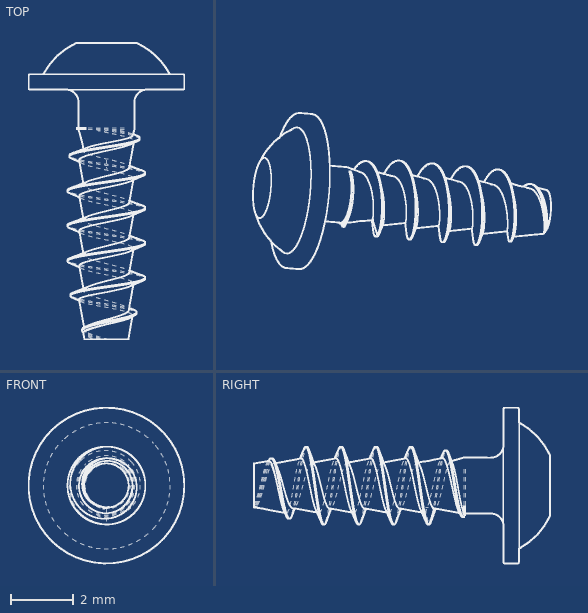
import cadquery as cq
import math


flange_radius = 2.5
flange_thickness = 0.5
flange_edge_round = 0.05
dome_height = 1.0
dome_base_radius = 2.03
dome_top_radius = 0.97

shank_radius = 0.9
under_head_fillet = 0.4
shank_end = 1.275
screw_length = 8.0

root_radius = 0.735
core_radius = 0.69
shoulder_slope = 0.28
tip_radius = 0.71
tip_taper_slope = 0.173

pitch = 1.12
thread_radius = 1.25
crest_half_width = 0.02
head_flank_base = 0.19
tip_flank_base = 0.17
tip_flank_radius = 0.875
ridge_foot_radius = 0.65
taper_foot_radius = 0.55
first_crest = 1.0
start_angle = 180

growing_turns = 1.25
full_turns = 3.5
fading_turns = 1.5
growth_slope = 0.21
fade_slope = 0.335
thread_clip_start = 1.25

lip_thickness = 0.06
lip_offset = 0.055


def revolve_profile(profile):
    """Revolve a half profile, drawn as (radius, z), about the screw axis."""
    return profile.close().revolve(360, (0, 0, 0), (0, 1, 0))


def make_head():
    dome_top = -flange_thickness - dome_height
    sphere_offset = (
        dome_base_radius**2 - dome_top_radius**2 - dome_height**2
    ) / (2 * dome_height)
    sphere_radius = (dome_base_radius**2 + sphere_offset**2) ** 0.5
    middle_height = dome_height / 2
    middle_radius = (sphere_radius**2 - (sphere_offset + middle_height) ** 2) ** 0.5
    flange = (
        cq.Workplane("XY", origin=(0, 0, -flange_thickness))
        .circle(flange_radius)
        .extrude(flange_thickness)
        .edges()
        .fillet(flange_edge_round)
    )
    dome = revolve_profile(
        cq.Workplane("XZ")
        .moveTo(0, dome_top)
        .lineTo(dome_top_radius, dome_top)
        .threePointArc(
            (middle_radius, -flange_thickness - middle_height),
            (dome_base_radius, -flange_thickness),
        )
        .lineTo(dome_base_radius, -flange_thickness / 2)
        .lineTo(0, -flange_thickness / 2)
    )
    return flange.union(dome)


def make_shank():
    """Plain shank with its under-head fillet and the taper down to the core."""
    fillet_radius_at_head = shank_radius + under_head_fillet
    shoulder_end = shank_end + (shank_radius - core_radius) / shoulder_slope
    fillet_middle = under_head_fillet * (1 - 0.5**0.5)
    return revolve_profile(
        cq.Workplane("XZ")
        .moveTo(0, -flange_thickness / 2)
        .lineTo(fillet_radius_at_head, -flange_thickness / 2)
        .lineTo(fillet_radius_at_head, 0)
        .threePointArc(
            (shank_radius + fillet_middle, fillet_middle),
            (shank_radius, under_head_fillet),
        )
        .lineTo(shank_radius, shank_end)
        .lineTo(core_radius, shoulder_end)
        .lineTo(0, shoulder_end)
    )


def make_core():
    """Cylinder just inside the thread root, reaching from the shank to the tip."""
    return (
        cq.Workplane("XY", origin=(0, 0, shank_end))
        .circle(core_radius)
        .extrude(screw_length - shank_end)
    )


def make_tip_envelope():
    """Cone that limits the helical taper of the core near the tip."""
    length = screw_length - shank_end
    return revolve_profile(
        cq.Workplane("XZ")
        .moveTo(0, shank_end)
        .lineTo(tip_radius + tip_taper_slope * length, shank_end)
        .lineTo(tip_radius, screw_length)
        .lineTo(0, screw_length)
    )


def sweep_helix(points, first_turn, turns, radial_slope=0.0):
    """Sweep a (radius, z) outline, with z = 0 at the crest, along part of the helix.

    A radial slope makes the outline grow outward, or sink inward if negative,
    as it advances along the axis.
    """
    start_radius = max(radius for radius, _ in points)
    if radial_slope == 0:
        helix = cq.Wire.makeHelix(pitch, pitch * turns, start_radius)
    else:
        cone_angle = math.atan(radial_slope)
        slant_pitch = pitch / math.cos(cone_angle)
        helix = cq.Wire.makeHelix(
            slant_pitch, slant_pitch * turns, start_radius, angle=math.degrees(cone_angle)
        )
    return (
        cq.Workplane("XZ")
        .polyline(points)
        .close()
        .sweep(cq.Workplane(helix), isFrenet=True)
        .rotate((0, 0, 0), (0, 0, 1), start_angle + 360 * first_turn)
        .translate((0, 0, first_crest + pitch * first_turn))
    )


def make_ridge_section(first_turn, turns, start_radius, radial_slope=0.0):
    """Stretch of thread ridge whose two flanks run on into the core."""
    head_flank_slope = (head_flank_base - crest_half_width) / (thread_radius - root_radius)
    tip_flank_slope = (tip_flank_base - crest_half_width) / (thread_radius - tip_flank_radius)
    depth = thread_radius - ridge_foot_radius
    points = [
        (start_radius - depth, -crest_half_width - head_flank_slope * depth),
        (start_radius, -crest_half_width),
        (start_radius, crest_half_width),
        (start_radius - depth, crest_half_width + tip_flank_slope * depth),
    ]
    thread_space = (
        cq.Workplane("XY", origin=(0, 0, thread_clip_start))
        .circle(flange_radius)
        .extrude(screw_length - thread_clip_start)
    )
    return sweep_helix(points, first_turn, turns, radial_slope).intersect(thread_space)


def make_growing_ridge():
    start_radius = thread_radius - growth_slope * pitch * growing_turns
    return make_ridge_section(0, growing_turns, start_radius, growth_slope)


def make_full_ridge():
    return make_ridge_section(growing_turns, full_turns, thread_radius)


def make_fading_ridge():
    first_turn = growing_turns + full_turns
    return make_ridge_section(first_turn, fading_turns, thread_radius, -fade_slope)


def make_core_taper():
    """Helical wedge that tapers the core between one thread turn and the next."""
    taper_length = pitch - head_flank_base - tip_flank_base
    taper_slope = (tip_flank_radius - root_radius) / taper_length
    taper_start = tip_flank_base / 2
    taper_end = pitch - crest_half_width
    points = [
        (taper_foot_radius, taper_start),
        (tip_flank_radius + taper_slope * (tip_flank_base - taper_start), taper_start),
        (tip_flank_radius - taper_slope * (taper_end - tip_flank_base), taper_end),
        (taper_foot_radius, taper_end),
    ]
    turns = growing_turns + full_turns + fading_turns + 1
    return sweep_helix(points, 0, turns).intersect(make_tip_envelope())


def make_runout_lip():
    """Thin crescent on the -X, -Z side of the shank end, where the thread begins."""
    return (
        cq.Workplane("XY", origin=(-lip_offset, -lip_offset, shank_end - lip_thickness))
        .circle(shank_radius)
        .extrude(lip_thickness)
    )


screw = (
    make_head()
    .union(make_shank())
    .union(make_core())
    .union(make_core_taper())
    .union(make_growing_ridge())
    .union(make_full_ridge())
    .union(make_fading_ridge())
    .union(make_runout_lip())
)

result = screw.rotate((0, 0, 0), (1, 0, 0), 90)